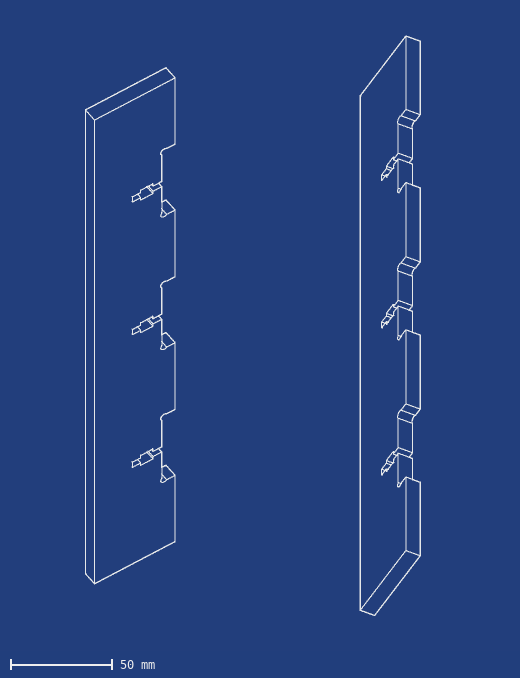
import cadquery as cq
import math

thickness = 8.0
width = 48.0
length = 348.5

notch_count = 3
notch_pitch = 99.5
notch_length = 49.5
notch_depth = 8.0

relief_radius = 2.0
relief_inset = relief_radius / math.sqrt(2)

slot_width = 4.0
slot_end_depth = 25.5
nut_width = 7.3
nut_start_depth = 13.2
nut_end_depth = 20.5

edge_y = width / 2


def box_cut(start_depth, end_depth, height, z):
    """Box through the thickness, between two depths from the notched edge."""
    depth = end_depth - start_depth
    center_y = edge_y - (start_depth + end_depth) / 2
    return cq.Workplane("XY").box(thickness, depth, height).translate((0, center_y, z))


def corner_reliefs(z):
    """Cylinders through the two inner corners of the notch centred at z."""
    center_y = edge_y - notch_depth + relief_inset
    offset_z = notch_length / 2 - relief_inset
    centers = [(center_y, z - offset_z), (center_y, z + offset_z)]
    return (
        cq.Workplane("YZ")
        .pushPoints(centers)
        .circle(relief_radius)
        .extrude(thickness / 2, both=True)
    )


def joint_cut(z):
    """Notch, corner reliefs, screw slot and nut pocket centred at z."""
    notch = box_cut(0, notch_depth, notch_length, z)
    slot = box_cut(0, slot_end_depth, slot_width, z)
    nut_pocket = box_cut(nut_start_depth, nut_end_depth, nut_width, z)
    return notch.union(corner_reliefs(z)).union(slot).union(nut_pocket)


result = cq.Workplane("XY").box(thickness, width, length)
for index in range(notch_count):
    notch_z = (index - (notch_count - 1) / 2) * notch_pitch
    result = result.cut(joint_cut(notch_z))